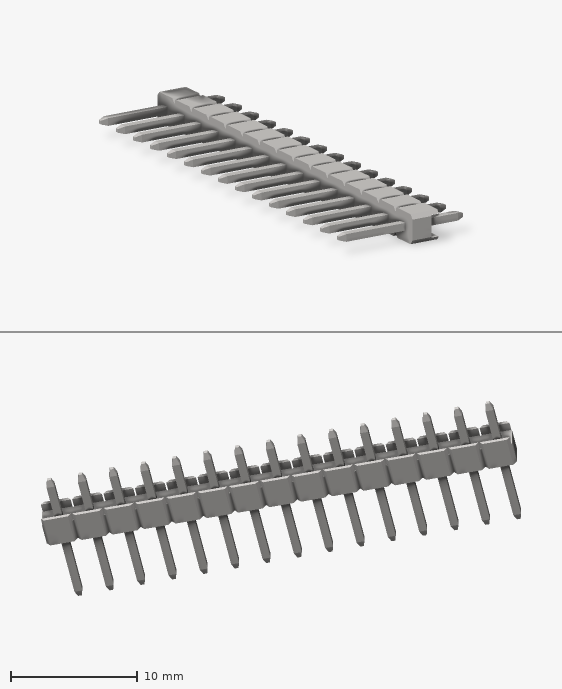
import cadquery as cq

pin_count = 15
pitch = 2.54
row_length = pin_count * pitch

housing_depth = 2.5
housing_height = 2.5
bevel_width = 0.29
bevel_height = 0.38
flange_thickness = 0.3
recess_depth = 0.7

pin_width = 0.64
pin_tip_width = 0.3
pin_taper_length = 0.58
pin_front_reach = 6.1
pin_rear_reach = 3.0
pin_offset = -0.1

front_y = -housing_depth / 2
rear_y = housing_depth / 2
first_segment_x = -(row_length - pitch) / 2
segment_centers = [first_segment_x + i * pitch for i in range(pin_count)]


def housing_segment(center_x):
    """One eight-sided block; neighbouring bevels form the V-shaped break notches."""
    half_width = pitch / 2
    half_height = housing_height / 2
    flat_x = half_width - bevel_width
    side_z = half_height - bevel_height
    outline = [
        (-flat_x, -half_height),
        (flat_x, -half_height),
        (half_width, -side_z),
        (half_width, side_z),
        (flat_x, half_height),
        (-flat_x, half_height),
        (-half_width, side_z),
        (-half_width, -side_z),
    ]
    return (
        cq.Workplane("XZ", origin=(center_x, front_y, 0))
        .polyline(outline)
        .close()
        .extrude(-housing_depth)
    )


def rear_recess():
    """Full-length channel that leaves a thin flange above and below."""
    return cq.Workplane("XY").box(
        row_length,
        recess_depth,
        housing_height - 2 * flange_thickness,
    ).translate((0, rear_y - recess_depth / 2, 0))


def tapered_tip(center_x, base_y, tip_y):
    """Square pyramid frustum narrowing from base_y to tip_y."""
    return (
        cq.Workplane("XZ", origin=(center_x, base_y, 0))
        .rect(pin_width, pin_width)
        .workplane(offset=base_y - tip_y)
        .rect(pin_tip_width, pin_tip_width)
        .loft(ruled=True)
    )


def pin(center_x):
    """Square pin through the housing with a tapered tip at both ends."""
    front_tip_y = front_y - pin_front_reach
    rear_tip_y = rear_y + pin_rear_reach
    shank_front_y = front_tip_y + pin_taper_length
    shank_rear_y = rear_tip_y - pin_taper_length
    shank = (
        cq.Workplane("XZ", origin=(center_x, shank_front_y, 0))
        .rect(pin_width, pin_width)
        .extrude(shank_front_y - shank_rear_y)
    )
    front_tip = tapered_tip(center_x, shank_front_y, front_tip_y)
    rear_tip = tapered_tip(center_x, shank_rear_y, rear_tip_y)
    return shank.union(front_tip).union(rear_tip)


housing = housing_segment(segment_centers[0])
for segment_x in segment_centers[1:]:
    housing = housing.union(housing_segment(segment_x))
housing = housing.clean().cut(rear_recess())

result = housing
for segment_x in segment_centers:
    result = result.union(pin(segment_x + pin_offset))